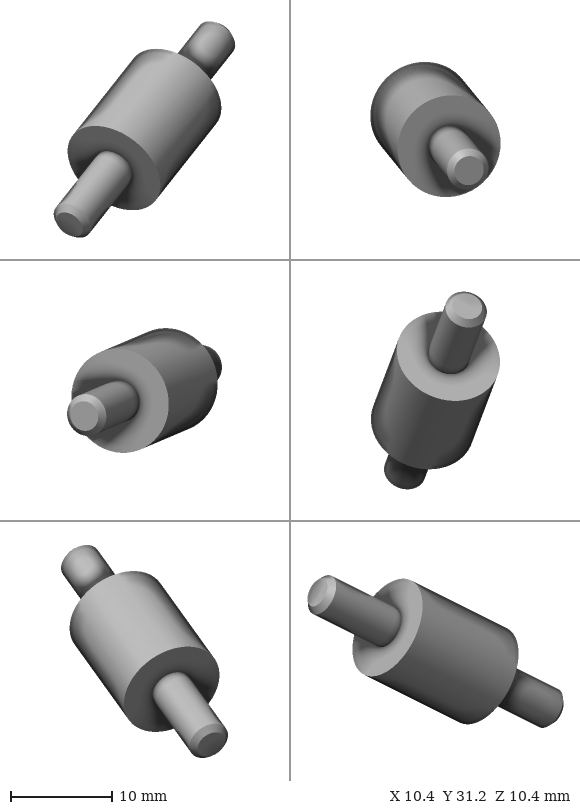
import cadquery as cq

BODY_DIAMETER = 10.41
BODY_LENGTH = 12.7
PIN_DIAMETER = 4.19
OVERALL_LENGTH = 31.24
PIN_CHAMFER = 0.61


def cylinder_along_y(diameter, length):
    """Cylinder on the Y axis, centred on the origin."""
    start_plane = cq.Workplane("XZ", origin=(0, length / 2, 0))
    return start_plane.circle(diameter / 2).extrude(length)


def make_body():
    """Plain central barrel with sharp end faces."""
    return cylinder_along_y(BODY_DIAMETER, BODY_LENGTH)


def make_pin():
    """Pin running the full length of the part, chamfered at both tips."""
    pin = cylinder_along_y(PIN_DIAMETER, OVERALL_LENGTH)
    return pin.faces("<Y or >Y").edges().chamfer(PIN_CHAMFER)


result = make_body().union(make_pin())